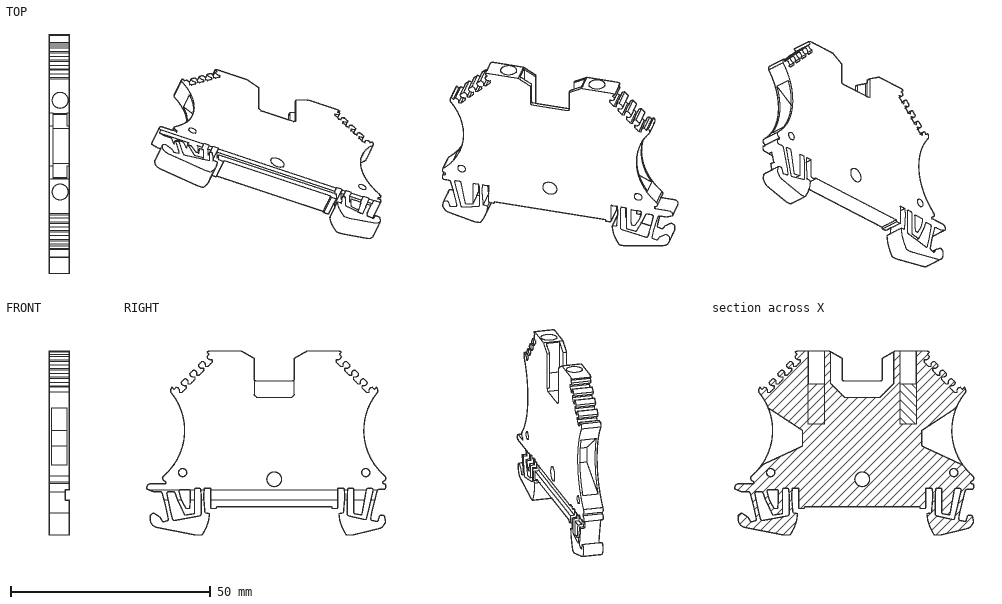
import cadquery as cq
import math

thickness = 5.1
height = 46.25

notch_half_width = 5.0
notch_floor = 38.75
notch_corner_radius = 0.4
post_inner_top = 44.4
post_bevel_start = 8.25

pocket_x_min = 0.98
pocket_x_max = 4.45
pocket_half_length = 7.9
pocket_slope_top = 38.1
pocket_floor_half_length = 4.4
pocket_floor = pocket_slope_top - (pocket_half_length - pocket_floor_half_length)
pocket_rim_radius = 0.4

waist_radius = 15.0
waist_depth_y = 22.5
waist_z = 26.3
waist_center_y = waist_depth_y + waist_radius

ridge_count = 5
ridge_pitch = 2.17
ridge_radius = 0.9
ridge_crest_half_angle = math.radians(48)
ridge_neck_step = 0.4
ridge_root = 1.48
first_ridge_y = 15.97
first_ridge_z = 44.92
lip_reach = height - first_ridge_z
ridge_floor = ridge_neck_step + ridge_root
corner_sum = first_ridge_y + first_ridge_z - ridge_floor

body_end_y = 28.0
ear_root_y = 27.25
ear_gap_top = 13.4
ear_crest_y = 27.78
ear_crest_z = 14.86
base_half_width = 15.95
base_bottom = 7.1
base_lip_bottom = 6.65
base_lip_width = 1.55
slot_top = 11.75

side_hole_y = 22.98
side_hole_z = 15.72
side_hole_radius = 1.0
center_hole_z = 14.05
center_hole_radius = 1.82

funnel_x_min = 0.55
funnel_x_max = 4.53
funnel_back_y = 15.0
funnel_back_bottom = 22.4
funnel_back_top = 26.3
funnel_mouth_y = 25.3
funnel_mouth_bottom = 17.6
funnel_top_y = 23.7
funnel_mouth_top = 32.0
funnel_outside_y = 30.0

groove_depth = 1.04
groove_bottom = 8.8
groove_top = 11.4

screw_x = 2.77
screw_y = 11.5
screw_radius = 2.0
screw_top = 38.0
screw_bottom = 28.0


def plate(wire, x_min=0.0, x_max=thickness):
    """Extrude a closed YZ outline between two X positions."""
    return wire.extrude(x_max - x_min).translate((x_min, 0, 0))


def rounded_outline(corners, side=1):
    """Closed YZ outline from (y, z) or (y, z, radius) corners; side=-1 mirrors it in Y."""
    count = len(corners)
    outline = None
    for i, corner in enumerate(corners):
        y, z = corner[:2]
        radius = corner[2] if len(corner) > 2 else 0
        if radius:
            before = corners[i - 1]
            after = corners[(i + 1) % count]
            run_in = math.hypot(before[0] - y, before[1] - z)
            run_out = math.hypot(after[0] - y, after[1] - z)
            in_y, in_z = (before[0] - y) / run_in, (before[1] - z) / run_in
            out_y, out_z = (after[0] - y) / run_out, (after[1] - z) / run_out
            half_angle = math.acos(in_y * out_y + in_z * out_z) / 2
            setback = radius / math.tan(half_angle)
            depth = radius / math.sin(half_angle) - radius
            mid_length = math.hypot(in_y + out_y, in_z + out_z)
            start = (side * (y + in_y * setback), z + in_z * setback)
            end = (side * (y + out_y * setback), z + out_z * setback)
            middle = (
                side * (y + (in_y + out_y) / mid_length * depth),
                z + (in_z + out_z) / mid_length * depth,
            )
        else:
            start = (side * y, z)
        if outline is None:
            outline = cq.Workplane("YZ").moveTo(*start)
        else:
            outline = outline.lineTo(*start)
        if radius:
            outline = outline.threePointArc(middle, end)
    return outline.close()


def round_bar(y, z, radius):
    """Cylinder along X through the whole thickness."""
    return cq.Workplane("YZ").center(y, z).circle(radius).extrude(thickness)


def half_body(side):
    """One half of the main plate, without ridges, waist or foot."""
    lip_start = base_half_width - base_lip_width
    return plate(rounded_outline([
        (0, base_bottom),
        (lip_start, base_bottom),
        (lip_start + 0.2, base_lip_bottom),
        (base_half_width, base_lip_bottom, 0.3),
        (base_half_width, slot_top),
        (ear_root_y, slot_top),
        (ear_root_y, ear_gap_top),
        (body_end_y, ear_gap_top + 0.5, 0.6),
        (body_end_y, ear_crest_z - 0.3, 0.3),
        (ear_crest_y, ear_crest_z),
        (ear_crest_y, corner_sum - ear_crest_y),
        (corner_sum - height, height),
        (post_bevel_start, height),
        (notch_half_width, post_inner_top),
        (notch_half_width, notch_floor, notch_corner_radius),
        (0, notch_floor),
    ], side))


def ridge(y, z, side):
    """Round marker ridge with a flat 45 degree crest on a stepped neck."""
    r = ridge_radius
    diagonal = r * math.sqrt(0.5)
    crest_high = r * math.sin(math.radians(45) + ridge_crest_half_angle)
    crest_low = r * math.cos(math.radians(45) + ridge_crest_half_angle)

    def at(dy, dz):
        return side * (y + dy), z + dz

    return plate(
        cq.Workplane("YZ")
        .moveTo(*at(crest_low, crest_high))
        .lineTo(*at(crest_high, crest_low))
        .threePointArc(at(diagonal, -diagonal), at(0, -r))
        .lineTo(*at(-ridge_neck_step, -r))
        .lineTo(*at(-ridge_neck_step, -ridge_root))
        .lineTo(*at(-ridge_root, -ridge_neck_step))
        .lineTo(*at(-r, -ridge_neck_step))
        .lineTo(*at(-r, 0))
        .threePointArc(at(-diagonal, diagonal), at(crest_low, crest_high))
        .close()
    )


def end_lip(side, lower):
    """Lip that ties the first or last ridge into the body; the two mirror across 45 degrees."""
    offsets = [
        (-lip_reach - ridge_floor, lip_reach),
        (0.6, lip_reach, 1.0),
        (0.9, 1.0),
        (0.4, 0.5),
        (0, 0),
        (-ridge_neck_step, -ridge_radius),
        (-ridge_neck_step, -ridge_root),
    ]
    last = (ridge_count - 1) * ridge_pitch
    corners = []
    for dy, dz, *radius in offsets:
        if lower:
            corners.append((first_ridge_y + last + dz, first_ridge_z - last + dy, *radius))
        else:
            corners.append((first_ridge_y + dy, first_ridge_z + dz, *radius))
    return plate(rounded_outline(corners, side))


inner_leg_and_toe = [
    (17.5, slot_top),
    (17.7, 10.0, 4.0),
    (17.35, 5.65),
    (16.2, 5.45),
    (16.45, 3.5, 6.0),
    (17.05, 1.9, 6.0),
    (18.05, 0, 0.6),
]

ear_foot = inner_leg_and_toe + [
    (19.6, 0, 1.0),
    (27.0, 1.8, 1.8),
    (28.0, 3.3, 0.8),
    (27.65, 5.05, 0.6),
    (26.45, 5.05, 0.5),
    (25.98, 3.45, 0.2),
    (24.2, 3.8, 0.4),
    (24.45, 5.6, 12.0),
    (25.95, 11.5, 0.5),
    (body_end_y, 11.5, 0.5),
    (body_end_y, 12.8, 0.3),
    (ear_root_y, 13.0),
    (ear_root_y, 14.0),
    (17.5, 14.0),
]

lever_foot = inner_leg_and_toe + [
    (19.6, 0, 1.0),
    (31.15, 2.27, 2.15),
    (31.15, 5.0, 0.5),
    (30.3, 5.65, 0.5),
    (28.6, 4.5, 0.5),
    (27.95, 3.35, 0.15),
    (26.55, 3.75, 0.3),
    (27.2, 7.3, 60.0),
    (28.25, 10.9, 0.4),
    (30.35, 10.9, 0.5),
    (32.0, 11.6, 0.2),
    (32.0, 12.95, 1.0),
    (ear_root_y, 12.95),
    (ear_root_y, 14.0),
    (17.5, 14.0),
]

slot_along_inner_leg = [
    (19.95, slot_top, 0.25),
    (18.5, slot_top, 0.25),
    (18.35, 10.0),
]

ear_foot_slot = slot_along_inner_leg + [
    (18.35, 4.95, 0.5),
    (23.05, 3.9, 0.3),
    (23.9, 7.4, 12.0),
    (24.9, slot_top, 0.4),
    (23.2, slot_top, 0.4),
    (22.0, 5.05, 0.3),
    (19.95, 5.4, 0.4),
]

lever_foot_slot = slot_along_inner_leg + [
    (18.35, 4.95, 0.5),
    (25.4, 3.65, 0.4),
    (26.1, 6.5, 12.0),
    (27.0, 10.9, 0.4),
    (25.0, 10.9, 0.4),
    (24.35, 9.0, 6.0),
    (22.45, 5.0, 0.2),
    (19.95, 5.4, 0.4),
]

lever_prong_window = [
    (21.1, 11.4, 0.25),
    (23.95, 11.4, 0.3),
    (23.3, 8.8, 6.0),
    (22.1, 6.75, 0.1),
    (21.25, 6.75, 0.1),
    (21.1, 8.5),
]


def wire_funnel(side):
    """Tapered wire entry opening into the waist."""
    floor_slope = (funnel_back_bottom - funnel_mouth_bottom) / (funnel_mouth_y - funnel_back_y)
    roof_slope = (funnel_mouth_top - funnel_back_top) / (funnel_top_y - funnel_back_y)
    reach = funnel_outside_y - funnel_back_y
    return plate(rounded_outline([
        (funnel_back_y, funnel_back_bottom),
        (funnel_outside_y, funnel_back_bottom - floor_slope * reach),
        (funnel_outside_y, funnel_back_top + roof_slope * reach),
        (funnel_back_y, funnel_back_top),
    ], side), funnel_x_min, funnel_x_max)


def notch_pocket(side):
    """Half of the pocket below the notch: walled under the post, open to +X under the notch."""
    rim = pocket_half_length + pocket_rim_radius
    pocket = plate(
        cq.Workplane("YZ")
        .moveTo(0, pocket_floor)
        .lineTo(side * pocket_floor_half_length, pocket_floor)
        .lineTo(side * pocket_half_length, pocket_slope_top)
        .lineTo(side * pocket_half_length, height - pocket_rim_radius)
        .radiusArc((side * rim, height), side * pocket_rim_radius)
        .lineTo(0, height)
        .close(),
        pocket_x_min, thickness)
    post_wall = plate(rounded_outline([
        (notch_half_width, 0),
        (body_end_y, 0),
        (body_end_y, height),
        (notch_half_width, height),
    ], side), pocket_x_max, thickness)
    return pocket.cut(post_wall)


def side_groove():
    """Groove along the whole length of the +X face."""
    length = 4 * body_end_y
    return cq.Workplane("XY").box(
        groove_depth, length, groove_top - groove_bottom, centered=False
    ).translate((thickness - groove_depth, -length / 2, groove_bottom))


def screw(side):
    """Clamp screw filling the lower part of its bore."""
    return (
        cq.Workplane("XY", origin=(screw_x, side * screw_y, screw_bottom))
        .circle(screw_radius)
        .extrude(screw_top - screw_bottom)
    )


def screw_bore(side):
    """Bore from the post top down to the end of the screw."""
    return (
        cq.Workplane("XY", origin=(screw_x, side * screw_y, screw_bottom))
        .circle(screw_radius)
        .extrude(height - screw_bottom)
    )


sides = (1, -1)
housing = half_body(1).union(half_body(-1))
for side in sides:
    for i in range(ridge_count):
        housing = housing.union(ridge(first_ridge_y + i * ridge_pitch, first_ridge_z - i * ridge_pitch, side))
    housing = housing.union(end_lip(side, lower=False))
    housing = housing.union(end_lip(side, lower=True))
    housing = housing.cut(round_bar(side * waist_center_y, waist_z, waist_radius))

housing = housing.union(plate(rounded_outline(ear_foot, 1)))
housing = housing.union(plate(rounded_outline(lever_foot, -1)))
housing = housing.cut(plate(rounded_outline(ear_foot_slot, 1)))
housing = housing.cut(plate(rounded_outline(lever_foot_slot, -1)))
housing = housing.cut(plate(rounded_outline(lever_prong_window, -1)))

for side in sides:
    housing = housing.cut(wire_funnel(side))
    housing = housing.cut(notch_pocket(side))
    housing = housing.cut(screw_bore(side))
    housing = housing.cut(round_bar(side * side_hole_y, side_hole_z, side_hole_radius))
housing = housing.cut(round_bar(0, center_hole_z, center_hole_radius))
housing = housing.cut(side_groove())

screws = [screw(side).val() for side in sides]
result = cq.Compound.makeCompound([housing.val(), *screws])